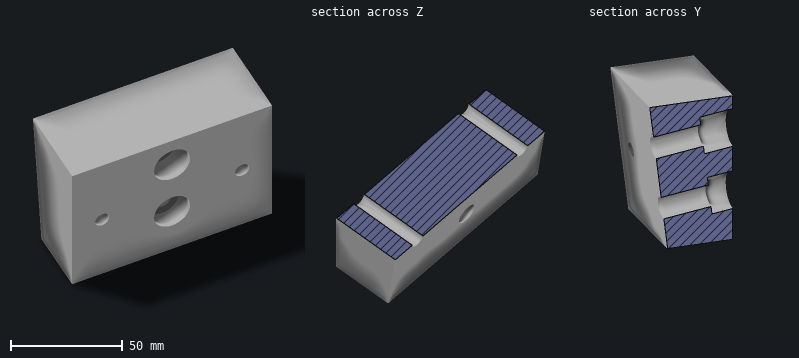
import cadquery as cq
import math

top_width = 40.0
length = 100.0
height = 70.0
taper_angle = 7.0

straight_hole_diameter = 7.0
straight_hole_spacing = 70.0

inclined_hole_diameter = 10.5
inclined_hole_spacing = 30.0
inclined_hole_depth = 23.0
counterbore_diameter = 18.0

taper = math.radians(taper_angle)
taper_run = height * math.tan(taper)
cut_margin = 10.0

along_x = cq.Vector(1, 0, 0)
along_y = cq.Vector(0, 1, 0)
into_face = cq.Vector(math.cos(taper), 0, math.sin(taper))
up_face = cq.Vector(-math.sin(taper), 0, math.cos(taper))
face_center = cq.Vector(taper_run / 2, 0, height / 2)


def make_block():
    """Block with a vertical back at X = top_width and a sloping front face."""
    outline = [(0, height), (top_width, height), (top_width, 0), (taper_run, 0)]
    return (
        cq.Workplane("XZ")
        .polyline(outline)
        .close()
        .extrude(length / 2, both=True)
    )


def drill(diameter, start, direction):
    """Cylinder from the start point out through the back of the block."""
    depth = top_width + 2 * cut_margin
    return cq.Workplane(cq.Solid.makeCylinder(diameter / 2, depth, start, direction))


def straight_hole(side):
    """Plain through hole at one end of the block."""
    entry = face_center + along_y * (side * straight_hole_spacing / 2)
    return drill(straight_hole_diameter, entry - along_x * cut_margin, along_x)


def inclined_hole(side):
    """Through hole above or below center, with a coaxial counterbore at the back."""
    entry = face_center + up_face * (side * inclined_hole_spacing / 2)
    bore = drill(inclined_hole_diameter, entry - into_face * cut_margin, into_face)
    floor_center = entry + into_face * inclined_hole_depth
    counterbore = drill(counterbore_diameter, floor_center, into_face)
    return bore.union(counterbore)


result = make_block()
for side in (-1, 1):
    result = result.cut(straight_hole(side))
    result = result.cut(inclined_hole(side))